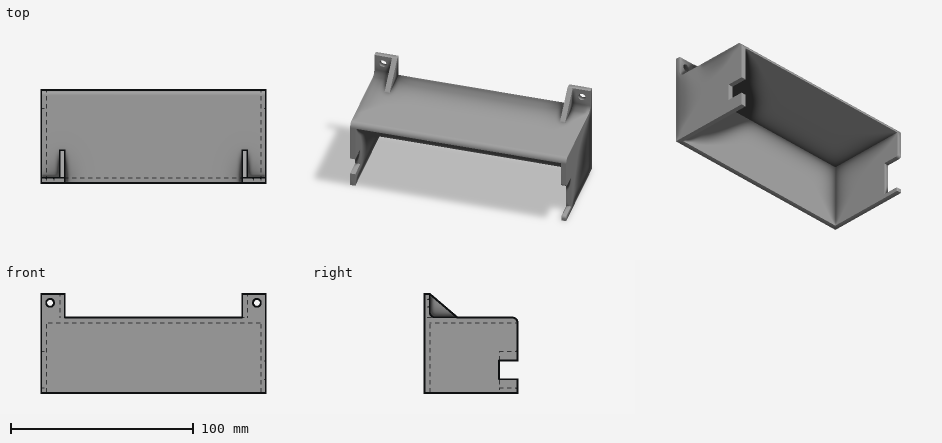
import cadquery as cq

length = 123.0
depth = 51.0
body_height = 41.5
total_height = 54.4
wall = 3.0
edge_radius = 3.0

tab_width = 13.0
tab_hole_diameter = 4.2
tab_hole_inset = 4.9
gusset_depth = 18.1

notch_depth = 10.1
left_notch_bottom = wall
left_notch_top = 23.0
right_notch_bottom = 7.7
right_notch_top = 17.8
mouth_radius = 1.5
lip_radius = 0.7


def make_hood():
    """Front, top and two end walls, open at the back and underneath."""
    outer = cq.Workplane("XY").box(length, depth, body_height, centered=False)
    outer = outer.edges("|X and >Y and >Z").fillet(edge_radius)
    cavity = cq.Workplane("XY").box(
        length - 2 * wall, depth - wall, body_height - wall, centered=False
    )
    return outer.cut(cavity.translate((wall, wall, 0)))


def make_tab():
    """Left screw tab with a root fillet and a triangular gusset on its inner side."""
    root = (
        cq.Workplane("YZ")
        .moveTo(0, body_height - wall)
        .lineTo(0, total_height)
        .lineTo(wall, total_height)
        .lineTo(wall, body_height + edge_radius)
        .radiusArc((wall + edge_radius, body_height), -edge_radius)
        .lineTo(wall + edge_radius, body_height - wall)
        .close()
        .extrude(tab_width)
    )
    gusset = (
        cq.Workplane("YZ", origin=(tab_width - wall, 0, 0))
        .moveTo(0, body_height)
        .lineTo(0, total_height)
        .lineTo(wall, total_height)
        .lineTo(gusset_depth, body_height)
        .close()
        .extrude(wall)
    )
    hole = (
        cq.Workplane("XZ")
        .center(tab_hole_inset, total_height - tab_hole_inset)
        .circle(tab_hole_diameter / 2)
        .extrude(-2 * wall)
    )
    return root.union(gusset).cut(hole)


def make_left_notch():
    """Cutter through the left wall, widening with rounded corners at the back edge."""
    return (
        cq.Workplane("YZ")
        .moveTo(depth - notch_depth, left_notch_bottom)
        .lineTo(depth - mouth_radius, left_notch_bottom)
        .radiusArc((depth, left_notch_bottom - mouth_radius), mouth_radius)
        .lineTo(depth, left_notch_top + mouth_radius)
        .radiusArc((depth - mouth_radius, left_notch_top), mouth_radius)
        .lineTo(depth - notch_depth, left_notch_top)
        .close()
        .extrude(wall)
    )


def make_right_notch():
    """Plain rectangular cutter through the right wall."""
    height = right_notch_top - right_notch_bottom
    notch = cq.Workplane("XY").box(wall, notch_depth, height, centered=False)
    return notch.translate((length - wall, depth - notch_depth, right_notch_bottom))


def round_lip(body):
    """Round the inner edge of the lip below the left notch."""
    lip_edges = cq.selectors.BoxSelector(
        (wall - lip_radius, depth - notch_depth, left_notch_bottom - mouth_radius / 2),
        (wall + lip_radius, depth, left_notch_bottom + mouth_radius),
    )
    return body.edges(lip_edges).fillet(lip_radius)


left_tab = make_tab()
right_tab = left_tab.mirror("YZ").translate((length, 0, 0))
hood = make_hood().cut(make_left_notch()).cut(make_right_notch())
result = round_lip(hood).union(left_tab).union(right_tab)